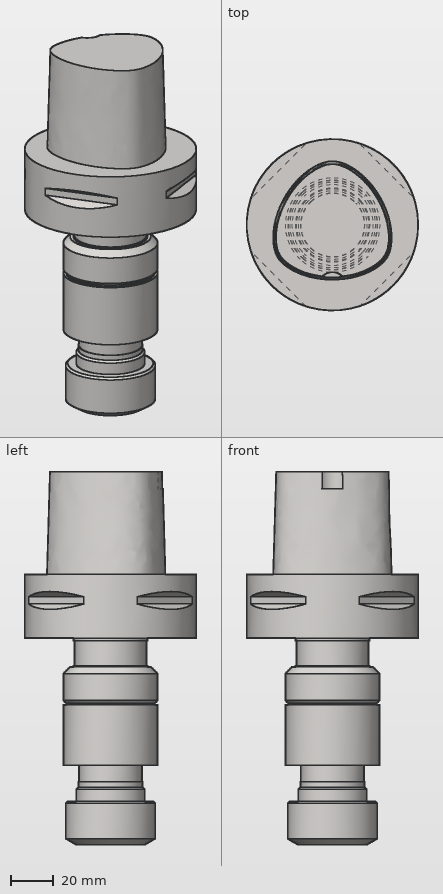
import cadquery as cq
import math

total_height = 174.1
flange_top = 126.2
flange_bottom = 96.5
neck_bottom = 83.0
groove_top = 67.4
groove_bottom = 65.3
collar_bottom = 37.0
stem_step = 29.5
stem_flare_bottom = 26.0
nut_top = 20.4
nut_bevel_height = 3.0

flange_diameter = 80.0
neck_diameter = 33.8
neck_band_diameter = 34.6
collar_diameter = 44.0
groove_diameter = 41.5
stem_diameter = 29.6
stem_band_diameter = 30.0
nut_seat_diameter = 32.0
nut_diameter = 42.0
nut_end_diameter = 32.0

neck_top_band_height = 1.2
neck_bottom_band_height = 0.5

collar_chamfer = 3.1
stem_flare = (nut_seat_diameter - stem_band_diameter) / 2
nut_top_chamfer = 1.0

shank_base_radius = 27.7
shank_top_radius = 26.3
lobe_offset = 2.0
curve_points = 48

keyway_radius = 6.6
keyway_center_y = -28.7
keyway_depth = 8.0

gripper_height = 114.0
gripper_floor_height = 3.3
gripper_floor_distance = 35.7
gripper_flank_angle = 30.0
gripper_count = 4
gripper_first_angle = 45.0


def turned_body():
    flange_r = flange_diameter / 2
    neck_r = neck_diameter / 2
    band_r = neck_band_diameter / 2
    collar_r = collar_diameter / 2
    groove_r = groove_diameter / 2
    stem_r = stem_diameter / 2
    stem_band_r = stem_band_diameter / 2
    seat_r = nut_seat_diameter / 2
    nut_end_r = nut_end_diameter / 2
    nut_r = nut_diameter / 2
    groove_depth = collar_r - groove_r
    profile = (
        cq.Workplane("XZ")
        .lineTo(nut_end_r, 0)
        .lineTo(nut_r, nut_bevel_height)
        .lineTo(nut_r, nut_top - nut_top_chamfer)
        .lineTo(nut_r - nut_top_chamfer, nut_top)
        .lineTo(seat_r, nut_top)
        .lineTo(seat_r, stem_flare_bottom)
        .lineTo(stem_band_r, stem_flare_bottom + stem_flare)
        .lineTo(stem_band_r, stem_step)
        .lineTo(stem_r, stem_step)
        .lineTo(stem_r, collar_bottom)
        .lineTo(collar_r, collar_bottom)
        .lineTo(collar_r, groove_bottom)
        .lineTo(groove_r, groove_bottom)
        .lineTo(groove_r, groove_top - groove_depth)
        .lineTo(collar_r, groove_top)
        .lineTo(collar_r, neck_bottom - collar_chamfer)
        .lineTo(collar_r - collar_chamfer, neck_bottom)
        .lineTo(band_r, neck_bottom)
        .lineTo(band_r, neck_bottom + neck_bottom_band_height)
        .lineTo(neck_r, neck_bottom + neck_bottom_band_height)
        .lineTo(neck_r, flange_bottom - neck_top_band_height)
        .lineTo(band_r, flange_bottom - neck_top_band_height)
        .lineTo(band_r, flange_bottom)
        .lineTo(flange_r, flange_bottom)
        .lineTo(flange_r, flange_top)
        .lineTo(0, flange_top)
        .close()
    )
    return profile.revolve(360, (0, 0, 0), (0, 1, 0))


def lobed_point(radius, angle):
    """Point on the three-lobed curve, with one lobe pointing to +Y."""
    x = (
        radius * math.sin(angle)
        - 2 * lobe_offset * math.sin(2 * angle)
        - lobe_offset * math.sin(4 * angle)
    )
    y = (
        radius * math.cos(angle)
        + 2 * lobe_offset * math.cos(2 * angle)
        - lobe_offset * math.cos(4 * angle)
    )
    return (x, y)


def lobed_points(radius):
    return [lobed_point(radius, 2 * math.pi * i / curve_points) for i in range(curve_points)]


def shank():
    height = total_height - flange_top
    return (
        cq.Workplane("XY", origin=(0, 0, flange_top))
        .spline(lobed_points(shank_base_radius), periodic=True)
        .close()
        .workplane(offset=height)
        .spline(lobed_points(shank_top_radius), periodic=True)
        .close()
        .loft(ruled=True)
    )


def keyway():
    return (
        cq.Workplane("XY", origin=(0, keyway_center_y, total_height - keyway_depth))
        .circle(keyway_radius)
        .extrude(keyway_depth)
    )


def gripper_groove(angle):
    """Straight groove with a flat floor and sloping flanks, cut into the rim."""
    outer_distance = flange_diameter / 2
    floor_half = gripper_floor_height / 2
    flank_rise = (outer_distance - gripper_floor_distance) * math.tan(math.radians(gripper_flank_angle))
    mouth_half = floor_half + flank_rise
    return (
        cq.Workplane("XZ", origin=(0, 0, gripper_height))
        .moveTo(gripper_floor_distance, -floor_half)
        .lineTo(outer_distance, -mouth_half)
        .lineTo(outer_distance, mouth_half)
        .lineTo(gripper_floor_distance, floor_half)
        .close()
        .extrude(flange_diameter / 2, both=True)
        .rotate((0, 0, 0), (0, 0, 1), angle)
    )


result = turned_body().union(shank()).cut(keyway())
for index in range(gripper_count):
    result = result.cut(gripper_groove(gripper_first_angle + index * 360 / gripper_count))